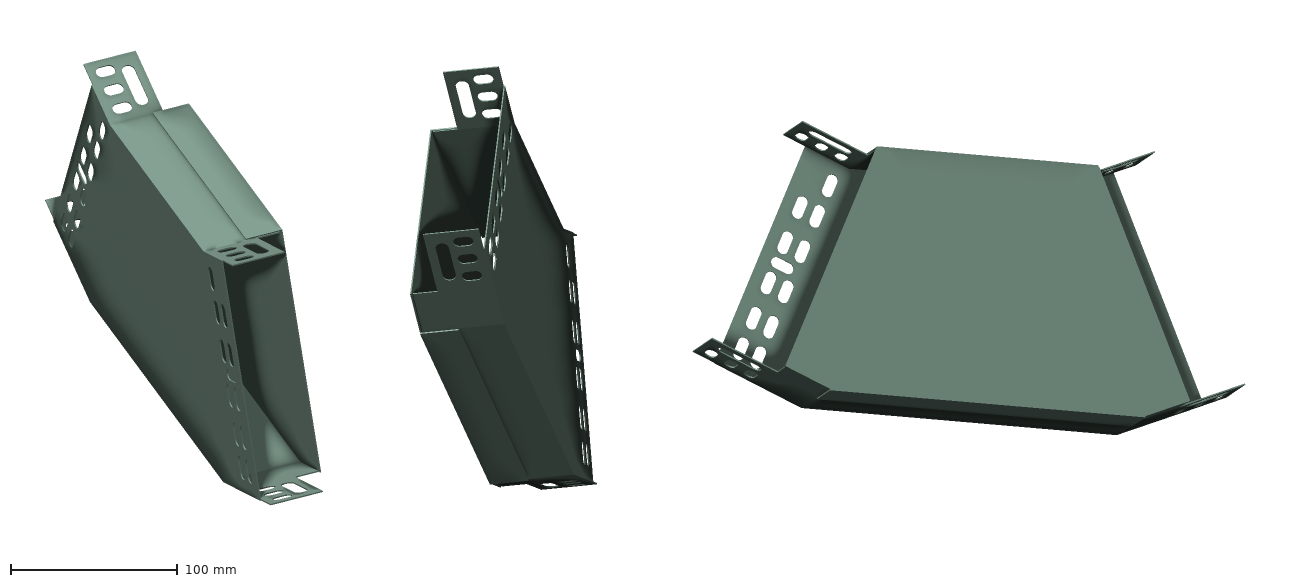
import cadquery as cq
import math

overall_width = 340.0
overall_depth = 51.5
overall_height = 169.5
sheet = 0.8
bend_angle = 22.5

tab_length = 45.2
tab_overhang = 15.3
tab_depth = 35.0

lip_depth = 23.8
back_gap = 0.8
lip_gap = 0.5
cover_overhang = 0.7

plate_slot_length = 15.0
plate_slot_width = 7.0
outer_column_inset = 11.5
inner_column_inset = 23.5
cross_slot_inset = 15.3
row_offsets = (14.0, 38.5, 59.5)

long_slot_length = 29.2
long_slot_width = 8.0
long_slot_inset = 22.8
long_slot_y = 25.5
small_slot_length = 12.2
small_slot_width = 7.0
small_slot_inset = 8.5
small_slot_pitch = 13.5
small_slot_y = 12.0
small_slot_count = 3

slope_sin = math.sin(math.radians(bend_angle))
slope_cos = math.cos(math.radians(bend_angle))
half_bend_tan = math.tan(math.radians(bend_angle / 2))
tray_height = overall_height - sheet - lip_gap - tab_length * slope_sin
tray_depth = overall_depth - sheet - back_gap
bend_shift = tray_height * half_bend_tan
lower_length = tab_length + bend_shift
lower_bend_x = overall_width / 2 - lower_length * slope_cos
upper_bend_x = lower_bend_x - bend_shift
bottom_z = -tray_height / 2
top_z = tray_height / 2
tab_tip_x = upper_bend_x + tab_length * slope_cos
tab_tip_z = top_z + tab_length * slope_sin


def end_point(inset, below):
    """(x, z) on the right end section: inset from the tab tips, below the upper wall's outer face."""
    return (
        tab_tip_x - inset * slope_cos + below * slope_sin,
        tab_tip_z - inset * slope_sin - below * slope_cos,
    )


def symmetric_prism(right_side, y_start, y_end):
    """Prism along Y whose outline is the given right side, listed top to bottom, and its mirror image."""
    left_side = [(-x, z) for x, z in reversed(right_side)]
    outline = cq.Workplane("XZ", origin=(0, y_start, 0)).polyline(right_side + left_side).close()
    return outline.extrude(-(y_end - y_start))


def section_outline(inset, offset=0.0):
    """Right side of the section, cut square to the slope and grown outwards by the offset."""
    bend_growth = offset * half_bend_tan
    return [
        (upper_bend_x - bend_growth, top_z + offset),
        end_point(inset, -offset),
        end_point(inset, tray_height + offset),
        (lower_bend_x + bend_growth, bottom_z - offset),
    ]


def wall_outline():
    """Right side of the section when it is cut square through the upper bend."""
    return [
        (upper_bend_x, top_z),
        end_point(tab_length, tray_height),
        (lower_bend_x, bottom_z),
    ]


def mirrored(body):
    return body.union(body.mirror("YZ"))


def plate_slot(inset, row, turn):
    """Cutter for a slot in the right end of the tray plate; turn is measured from the end edge."""
    x, z = end_point(tab_overhang + inset, tray_height / 2 - row)
    slot = cq.Workplane("XZ").slot2D(plate_slot_length, plate_slot_width, 90 + bend_angle + turn)
    return slot.extrude(-sheet).translate((x, 0, z))


def plate_slots():
    cutter = plate_slot(cross_slot_inset, 0, 90)
    top_row = row_offsets[-1]
    for offset in row_offsets:
        for row in (offset, -offset):
            cutter = cutter.union(plate_slot(inner_column_inset, row, 0))
            if row != top_row:
                cutter = cutter.union(plate_slot(outer_column_inset, row, 0))
    return mirrored(cutter)


def tab_slot(length, width, turn, inset, y):
    """Cutter for a slot through the upper and lower right tabs; turn is measured from the slope."""
    x, z = end_point(inset, -sheet)
    slope_plane = cq.Plane(origin=(x, y, z), xDir=(slope_cos, 0, slope_sin), normal=(-slope_sin, 0, slope_cos))
    return cq.Workplane(slope_plane).slot2D(length, width, turn).extrude(-(tray_height + 2 * sheet))


def tab_slots():
    cutter = tab_slot(long_slot_length, long_slot_width, 0, long_slot_inset, long_slot_y)
    for i in range(small_slot_count):
        inset = small_slot_inset + i * small_slot_pitch
        cutter = cutter.union(tab_slot(small_slot_length, small_slot_width, 90, inset, small_slot_y))
    return mirrored(cutter)


def make_tray():
    plate = symmetric_prism(section_outline(tab_overhang), 0, sheet)
    tabs = symmetric_prism(section_outline(0), sheet, tab_depth)
    walls = symmetric_prism(wall_outline(), tab_depth, tray_depth)
    inside = symmetric_prism(section_outline(-sheet, -sheet), sheet, tray_depth)
    shell = tabs.union(walls).cut(inside).cut(tab_slots())
    return plate.cut(plate_slots()).union(shell)


def lip(half_width, z_bottom):
    """Strip along X that runs along the outside of a straight tray wall."""
    strip = cq.Workplane("XY").box(2 * half_width, lip_depth, sheet, centered=(True, False, False))
    return strip.translate((0, overall_depth - lip_depth, z_bottom))


def make_cover():
    plate_outline = section_outline(tab_length - cover_overhang, lip_gap)
    plate = symmetric_prism(plate_outline, overall_depth - sheet, overall_depth)
    upper_lip = lip(upper_bend_x, top_z + lip_gap)
    lower_lip = lip(lower_bend_x, bottom_z - lip_gap - sheet)
    return plate.union(upper_lip).union(lower_lip)


tray = make_tray()
cover = make_cover()

result = cq.Compound.makeCompound([tray.val(), cover.val()])